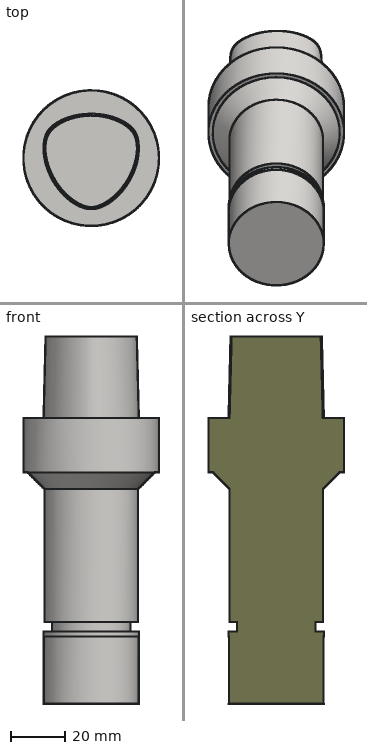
import cadquery as cq
import math

total_height = 135.0
collar_bottom = 24.7
groove_bottom = 26.6
groove_top = 30.0
cone_bottom = 79.0
flange_bottom = 85.0
flange_top = 105.0

base_diameter = 35.0
collar_diameter = 35.2
groove_diameter = 29.0
neck_diameter = 34.5
flange_diameter = 50.0

shank_base_diameter = 35.1
shank_taper = 1 / 20
lobe_height = 1.2
lobe_count = 3
points_per_lobe = 12


def cylinder(diameter, bottom, top):
    """Round section on the Z axis between two heights."""
    return cq.Workplane("XY").workplane(offset=bottom).circle(diameter / 2).extrude(top - bottom)


def cone_section():
    """45 degree cone widening from the neck towards the flange."""
    height = flange_bottom - cone_bottom
    neck_radius = neck_diameter / 2
    return (
        cq.Workplane("XY")
        .workplane(offset=cone_bottom)
        .circle(neck_radius)
        .workplane(offset=height)
        .circle(neck_radius + height)
        .loft(ruled=True)
    )


def lobed_point(mean_radius, angle):
    """Point of a constant-width lobed curve whose outward normal has the given angle.

    The distance from the axis to the tangent line varies as a sine, with one lobe towards -Y.
    """
    tangent_distance = mean_radius + lobe_height * math.sin(lobe_count * angle)
    slope = lobe_count * lobe_height * math.cos(lobe_count * angle)
    x = tangent_distance * math.cos(angle) - slope * math.sin(angle)
    y = tangent_distance * math.sin(angle) + slope * math.cos(angle)
    return (x, y)


def lobed_outline(mean_radius):
    """Points around the closed lobed outline."""
    count = lobe_count * points_per_lobe
    return [lobed_point(mean_radius, 2 * math.pi * i / count) for i in range(count)]


def lobed_shank():
    """Tapered shank on top of the flange."""
    height = total_height - flange_top
    base_radius = shank_base_diameter / 2
    top_radius = base_radius - shank_taper * height / 2
    return (
        cq.Workplane("XY")
        .workplane(offset=flange_top)
        .spline(lobed_outline(base_radius), periodic=True)
        .close()
        .workplane(offset=height)
        .spline(lobed_outline(top_radius), periodic=True)
        .close()
        .loft(ruled=True)
    )


result = (
    cylinder(base_diameter, 0, collar_bottom)
    .union(cylinder(collar_diameter, collar_bottom, groove_bottom))
    .union(cylinder(groove_diameter, groove_bottom, groove_top))
    .union(cylinder(neck_diameter, groove_top, cone_bottom))
    .union(cone_section())
    .union(cylinder(flange_diameter, flange_bottom, flange_top))
    .union(lobed_shank())
)